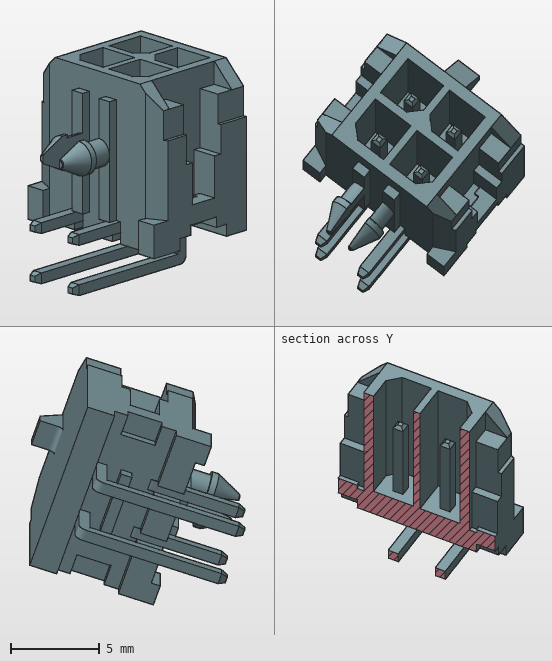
import cadquery as cq


total_height = 12.24
total_width = 10.15
depth = 6.88

pitch = 3.0
pin_width = 0.65
pin_half = pin_width / 2
pin_x = 1.52
front_row_y = 1.93
row_ys = (front_row_y, front_row_y + pitch)
pin_end_y = -3.7
tail_taper = 0.39
tail_tip_width = 0.37
contact_top = 7.59
contact_taper = 0.2
contact_tip_width = 0.27
bend_radius = 0.49
lower_tail_bottom = -2.31
height = total_height + lower_tail_bottom
tail_zs = (lower_tail_bottom + pin_half + pitch, lower_tail_bottom + pin_half)

cavity_width = 2.56
cavity_depth = 2.51
cavity_corner = 0.69
cavity_floor = 2.51

core_half = 3.41
wing_half = total_width / 2
upper_wing_half = 4.83
wing_step_z = 6.78
shoulder_z = 8.54
gusset_depth = 0.94

opening_y = depth / 2
opening_wide = 2.74
opening_narrow = 1.76
opening_step_z = 5.02
opening_floor = 2.51
nail_groove_half = 3.85
nail_groove_depth = 0.25
nail_notch_half = 4.16
nail_notch_length = 0.78

foot_inner = 3.85
foot_top = 2.01
front_reach = 0.54
corner_setback = 0.59

channel_front = 1.57
channel_back = 5.26
channel_top = 0.72
side_window_length = 2.05
side_window_top = tail_zs[0] + pin_half
divider_thickness = 0.65
divider_half_length = pin_x + pin_half

rib_inner = 0.66
rib_outer = 1.5
peg_z = 5.34
peg_radius = 0.83
collar_radius = 1.03
collar_start_y = -1.76
collar_end_y = -2.15
peg_tip_radius = 0.28
peg_tip_bevel = 0.05

latch_width = 1.53
latch_reach = 1.37
latch_top = 9.55
latch_bottom = 7.4
latch_fillet = 0.33


def box(x_range, y_range, z_range):
    """Axis-aligned block between the given limits."""
    (x0, x1), (y0, y1), (z0, z1) = x_range, y_range, z_range
    return cq.Workplane("XY").box(x1 - x0, y1 - y0, z1 - z0, centered=False).translate((x0, y0, z0))


def mirrored(shape):
    """The shape together with its mirror image across X = 0."""
    return shape.union(shape.mirror("YZ"))


def centred(middle, length):
    return (middle - length / 2, middle + length / 2)


def wing():
    """Side wing on +X: stepped outside, sloped shoulders and a slanted front corner."""
    solid = box((0, wing_half), (0, depth), (0, wing_step_z))
    solid = solid.union(box((0, upper_wing_half), (0, depth), (wing_step_z, shoulder_z)))

    shoulder = (
        cq.Workplane("XZ")
        .polyline([(0, shoulder_z), (upper_wing_half, shoulder_z), (core_half, height), (0, height)])
        .close()
        .extrude(-depth)
    )
    between_gussets = box((core_half, wing_half), (gusset_depth, depth - gusset_depth), (shoulder_z, height))
    solid = solid.union(shoulder.cut(between_gussets))

    corner = (
        cq.Workplane("XY", origin=(0, 0, foot_top))
        .polyline([(foot_inner, 0), (wing_half, 0), (wing_half, corner_setback)])
        .close()
        .extrude(height - foot_top)
    )
    foot = box((foot_inner, wing_half), (-front_reach, 0), (0, foot_top))
    return solid.cut(corner).union(foot)


def wing_opening():
    """Stepped opening in the +X wing, with a nail groove and notch sunk into its floor."""
    groove_z = (opening_floor - nail_groove_depth, opening_floor)
    wide = box((core_half, wing_half), centred(opening_y, opening_wide), (opening_step_z, height))
    narrow = box((core_half, wing_half), centred(opening_y, opening_narrow), (opening_floor, opening_step_z))
    groove = box((core_half, nail_groove_half), centred(opening_y, opening_narrow), groove_z)
    notch = box((core_half, nail_notch_half), centred(opening_y, nail_notch_length), groove_z)
    return wide.union(narrow).union(groove).union(notch)


def cavity(side, row_y, corner_side):
    """Contact cavity with one bevelled front corner on the given X side."""
    return (
        cq.Workplane("XY", origin=(side * pitch / 2, row_y, cavity_floor))
        .rect(cavity_width, cavity_depth)
        .extrude(height - cavity_floor)
        .edges("|Z and <Y")
        .edges(">X" if corner_side > 0 else "<X")
        .chamfer(cavity_corner)
    )


def underside_cuts():
    """Channel across the bottom, windows in both side walls and slots around the tails."""
    channel = box((-wing_half, wing_half), (channel_front, channel_back), (0, channel_top))
    window_y = centred(opening_y, side_window_length)
    window = box((foot_inner, wing_half), window_y, (0, side_window_top))
    slot = box(centred(pin_x, pin_width), (0, channel_front), (0, side_window_top))
    return channel.union(mirrored(window)).union(mirrored(slot))


def half_peg():
    """Half of the barbed locating peg, flat on its inner side, on +X."""
    peg = (
        cq.Workplane("XY")
        .moveTo(0, 0)
        .lineTo(peg_radius, 0)
        .lineTo(peg_radius, collar_start_y)
        .lineTo(collar_radius, collar_start_y)
        .lineTo(collar_radius, collar_end_y)
        .lineTo(peg_tip_radius, pin_end_y + peg_tip_bevel)
        .lineTo(peg_tip_radius - peg_tip_bevel, pin_end_y)
        .lineTo(0, pin_end_y)
        .close()
        .revolve(180, (0, 0, 0), (0, 1, 0))
    )
    peg = peg.rotate((0, 0, 0), (0, 1, 0), -90)
    return peg.translate((rib_inner, 0, peg_z))


def latch():
    """Ramped catch on the back wall, with a rounded root under it."""
    tip_y = depth + latch_reach
    return (
        cq.Workplane("YZ", origin=(-latch_width / 2, 0, 0))
        .moveTo(depth, latch_top)
        .lineTo(tip_y, latch_top - latch_reach)
        .lineTo(tip_y, latch_bottom)
        .lineTo(depth + latch_fillet, latch_bottom)
        .radiusArc((depth, latch_bottom - latch_fillet), -latch_fillet)
        .close()
        .extrude(latch_width)
    )


def square_taper(plane, origin, tip_width, length):
    """Square tip that narrows from the pin width along the plane normal."""
    return (
        cq.Workplane(plane, origin=origin)
        .rect(pin_width, pin_width)
        .workplane(offset=length)
        .rect(tip_width, tip_width)
        .loft()
    )


def pin(row_y, tail_z):
    """Bent pin on +X: an upright contact and a tail towards -Y, both with tapered ends."""
    contact_end = contact_top - contact_taper
    tail_end = pin_end_y + tail_taper
    upright = box(centred(pin_x, pin_width), centred(row_y, pin_width), (tail_z - pin_half, contact_end))
    tail = box(centred(pin_x, pin_width), (tail_end, row_y + pin_half), centred(tail_z, pin_width))
    bent = upright.union(tail).edges("|X and >Y and <Z").fillet(bend_radius)
    contact_tip = square_taper("XY", (pin_x, row_y, contact_end), contact_tip_width, contact_taper)
    tail_tip = square_taper("XZ", (pin_x, tail_end, tail_z), tail_tip_width, tail_taper)
    return bent.union(contact_tip).union(tail_tip)


housing = mirrored(wing().cut(wing_opening()))
for side in (-1, 1):
    housing = housing.cut(cavity(side, row_ys[0], side))
    housing = housing.cut(cavity(side, row_ys[1], -side))
housing = housing.cut(underside_cuts())
divider = box(
    (-divider_half_length, divider_half_length), centred(opening_y, divider_thickness), (0, channel_top)
)
housing = housing.union(divider)

rib = box((rib_inner, rib_outer), (-front_reach, 0), (side_window_top, shoulder_z))
housing = housing.union(mirrored(rib)).union(mirrored(half_peg())).union(latch())

for row_y, tail_z in zip(row_ys, tail_zs):
    housing = housing.union(mirrored(pin(row_y, tail_z)))

result = housing